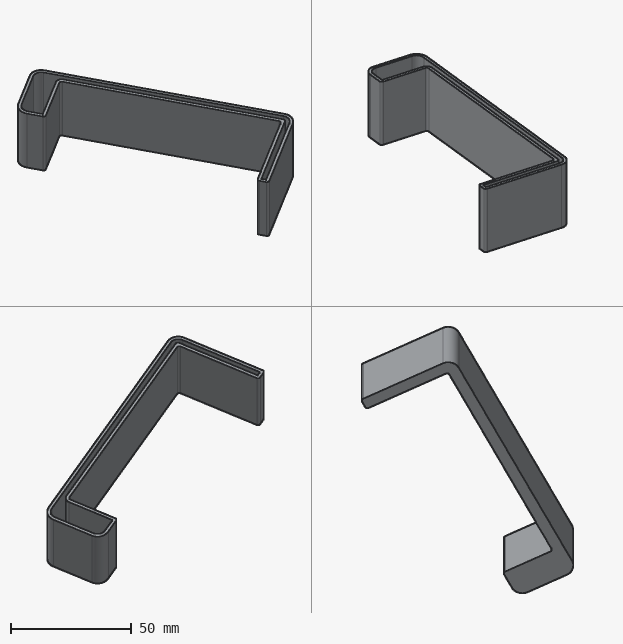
import cadquery as cq

length = 113.0
leg_depth = 43.0
hook_depth = 28.0
hook_width = 13.0
height = 30.0
bar_thickness = 5.0
wall = 1.5
floor = 1.5
outer_radius = 5.0
edge_radius = 1.0

leg_inner_x = length - bar_thickness
bar_front_y = -bar_thickness


def plan_outline(inset, corners):
    """Hooked outline moved inward by inset; each corner is (x, y, inward x, inward y, radius)."""
    points = [(x + dx * inset, y + dy * inset) for x, y, dx, dy, _ in corners]
    return cq.Workplane("XY").polyline(points).close()


def prism(inset, bottom, corners):
    """Extrude the outline from bottom to the rim and round its upright corners."""
    solid = plan_outline(inset, corners).extrude(height - bottom)
    for x, y, dx, dy, radius in corners:
        if radius > 0:
            place = (x + dx * inset, y + dy * inset, (height - bottom) / 2)
            upright = cq.selectors.NearestToPointSelector(place)
            solid = solid.edges("|Z").edges(upright).fillet(radius)
    return solid.translate((0, 0, bottom))


def corner_list(back_radius, tip_radius, left_inside_radius, right_inside_radius):
    """Corners of the plan in order, starting at the back left."""
    return [
        (0, 0, 1, -1, back_radius),
        (length, 0, -1, -1, back_radius),
        (length, -leg_depth, -1, 1, tip_radius),
        (leg_inner_x, -leg_depth, 1, 1, tip_radius),
        (leg_inner_x, bar_front_y, 1, 1, right_inside_radius),
        (hook_width, bar_front_y, -1, 1, left_inside_radius),
        (hook_width, -hook_depth, -1, 1, tip_radius),
        (0, -hook_depth, 1, 1, back_radius),
    ]


body = prism(0, 0, corner_list(outer_radius, edge_radius, edge_radius, edge_radius))

cavity_inside_radius = edge_radius + wall
cavity = prism(
    wall,
    floor,
    corner_list(outer_radius - wall, 0, cavity_inside_radius, edge_radius),
)

result = body.cut(cavity)